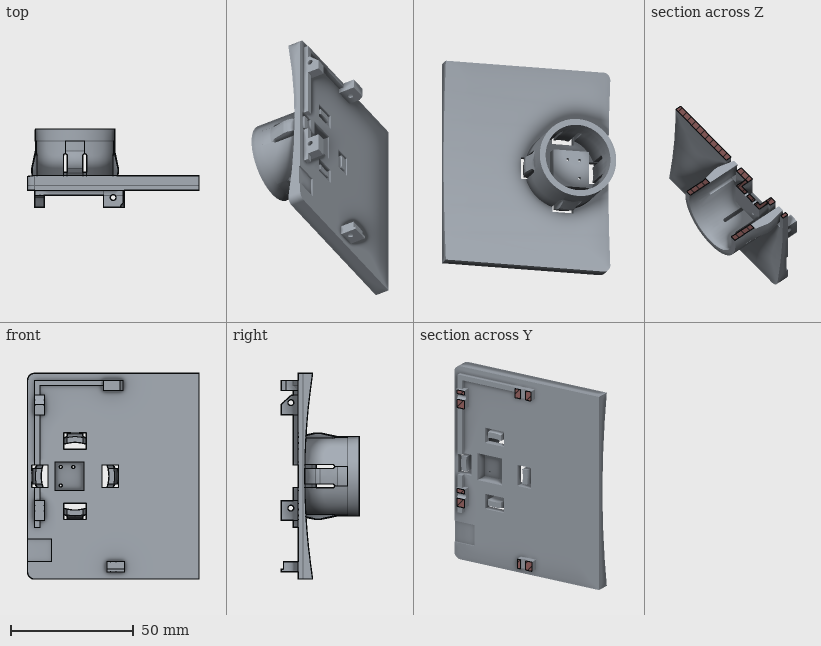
import cadquery as cq

PLATE_WIDTH = 70.0
PLATE_HEIGHT = 84.0
BASE_THICKNESS = 2.0
MIDDLE_THICKNESS = 2.7
EDGE_THICKNESS = 6.0
CORNER_RADIUS = 2.9
LABEL_WIDTH = 9.8
LABEL_TOP = -25.7
LABEL_BOTTOM = -34.9
LABEL_DEPTH = 0.7

RIB_INSET = 2.9
RIB_WIDTH = 2.1
RIB_HEIGHT = 2.0
RIB_BOTTOM = -20.9

LUG_HEIGHT = 7.0
LUG_LENGTH = 8.1
LUG_HOLE_DIAMETER = 2.3
LUG_HOLE_OUT = 2.9
SIDE_LUG_WIDTH = 3.95
SIDE_LUG_HOLE_DROP = 3.1
UPPER_LUG_TOP = 33.1
LOWER_LUG_TOP = -9.9
LUG_CHAMFER_RISE = 3.9
LUG_CHAMFER_RUN = 4.2
TOP_LUG_LEFT = 30.9
TOP_LUG_DEPTH = 4.2
TOP_LUG_CHAMFER_X = 1.3
TOP_LUG_CHAMFER_Y = 2.0
BOTTOM_LUG_LEFT = 32.3
BOTTOM_LUG_LENGTH = 7.2
BOTTOM_LUG_DEPTH = 4.2
BOTTOM_LUG_HEIGHT = 6.0
FOOT_DEPTH = 1.2

CUP_X = 19.4
CUP_RADIUS = 32.5 / 2
CUP_BORE_RADIUS = 13.8
CUP_END = 25.0
BAND_START = 20.2
SLOT_WIDTH = 1.5
SLOT_OFFSET = 3.95
SLOT_END = 14.9
CLIP_COUNT = 4
CLIP_ROOT_RADIUS = 16.2
CLIP_ROOT_END = 16.05
CLIP_PEAK_RADIUS = 17.7
CLIP_PEAK_BACK = 9.0
CLIP_PEAK_FRONT = 7.1
CLIP_TIP_RADIUS = 16.1

WINDOW_WIDTH = 9.1
WINDOW_INNER = 11.1
WINDOW_OUTER = 17.6

POCKET_X = 17.1
POCKET_SIZE = 11.7
POCKET_DEPTH = 5.7
TRAY_WALL = 1.8
TRAY_FLOOR = 1.8
PIN_HOLE_DIAMETER = 1.2
PIN_HOLE_LEFT = 13.6
PIN_HOLE_PITCH_X = 5.0
PIN_HOLE_PITCH_Z = 7.6

RIB_OUTER_Z = PLATE_HEIGHT / 2 - RIB_INSET
LUG_HOLE_X = TOP_LUG_LEFT + LUG_LENGTH / 2
TRAY_SIZE = POCKET_SIZE + 2 * TRAY_WALL
TRAY_BACK = POCKET_DEPTH + TRAY_FLOOR


def block(x0, x1, y0, y1, z0, z1):
    """Box between two values on each axis."""
    return cq.Workplane("XY").box(x1 - x0, y1 - y0, z1 - z0, centered=False).translate((x0, y0, z0))


def cylinder_y(x, z, radius, y0, y1):
    """Round bar along Y."""
    return cq.Workplane("XZ", origin=(x, y0, z)).circle(radius).extrude(y0 - y1)


def square_y(size, y0, y1):
    """Square bar along Y, centred on the pocket."""
    half = size / 2
    return block(POCKET_X - half, POCKET_X + half, y0, y1, -half, half)


def at_clips(body):
    """Copies of a body that is made for the +X clip, one for each clip."""
    axis_start = (CUP_X, 0, 0)
    axis_end = (CUP_X, 1, 0)
    return [body.rotate(axis_start, axis_end, i * 360 / CLIP_COUNT) for i in range(CLIP_COUNT)]


def round_left_corners(slab):
    return slab.edges("|Y and <X").fillet(CORNER_RADIUS)


def plate_slab():
    """Flat base and a back layer that is hollowed by an arc; their seam stays on the rim."""
    half = PLATE_HEIGHT / 2
    base = block(0, PLATE_WIDTH, 0, BASE_THICKNESS, -half, half)
    back = (
        cq.Workplane("YZ")
        .moveTo(BASE_THICKNESS, -half)
        .lineTo(EDGE_THICKNESS, -half)
        .threePointArc((MIDDLE_THICKNESS, 0), (EDGE_THICKNESS, half))
        .lineTo(BASE_THICKNESS, half)
        .close()
        .extrude(PLATE_WIDTH)
    )
    return round_left_corners(base).union(round_left_corners(back), clean=False)


def ribs():
    inner_x = RIB_INSET + RIB_WIDTH
    side = block(RIB_INSET, inner_x, -RIB_HEIGHT, 0, RIB_BOTTOM, RIB_OUTER_Z)
    top_right = TOP_LUG_LEFT + LUG_LENGTH
    top = block(RIB_INSET, top_right, -RIB_HEIGHT, 0, RIB_OUTER_Z - RIB_WIDTH, RIB_OUTER_Z)
    return side.union(top)


def side_lug(top):
    lug = block(RIB_INSET, RIB_INSET + SIDE_LUG_WIDTH, -LUG_HEIGHT, 0, top - LUG_LENGTH, top)
    hole = (
        cq.Workplane("YZ", origin=(0, -LUG_HOLE_OUT, top - SIDE_LUG_HOLE_DROP))
        .circle(LUG_HOLE_DIAMETER / 2)
        .extrude(RIB_INSET + SIDE_LUG_WIDTH)
    )
    return lug, hole


def upper_lug():
    lug, hole = side_lug(UPPER_LUG_TOP)
    corner = (
        cq.Workplane("YZ")
        .moveTo(-LUG_HEIGHT, UPPER_LUG_TOP)
        .lineTo(-LUG_HEIGHT + LUG_CHAMFER_RUN, UPPER_LUG_TOP)
        .lineTo(-LUG_HEIGHT, UPPER_LUG_TOP - LUG_CHAMFER_RISE)
        .close()
        .extrude(RIB_INSET + SIDE_LUG_WIDTH)
    )
    return lug.cut(corner), hole


def top_lug():
    """Lug with its right front corner chamfered."""
    right = TOP_LUG_LEFT + LUG_LENGTH
    return (
        cq.Workplane("XY", origin=(0, 0, RIB_OUTER_Z - TOP_LUG_DEPTH))
        .moveTo(TOP_LUG_LEFT, 0)
        .lineTo(TOP_LUG_LEFT, -LUG_HEIGHT)
        .lineTo(right - TOP_LUG_CHAMFER_X, -LUG_HEIGHT)
        .lineTo(right, -LUG_HEIGHT + TOP_LUG_CHAMFER_Y)
        .lineTo(right, 0)
        .close()
        .extrude(TOP_LUG_DEPTH)
    )


def bottom_lug():
    """Lug with a thin foot along its lower front edge."""
    right = BOTTOM_LUG_LEFT + BOTTOM_LUG_LENGTH
    bottom = -RIB_OUTER_Z
    lug = block(BOTTOM_LUG_LEFT, right, -BOTTOM_LUG_HEIGHT, 0, bottom, bottom + BOTTOM_LUG_DEPTH)
    foot = block(BOTTOM_LUG_LEFT, right, -LUG_HEIGHT, 0, bottom, bottom + FOOT_DEPTH)
    return lug.union(foot)


def end_lug_hole():
    """One bore along Z through the top and bottom lugs."""
    return (
        cq.Workplane("XY", origin=(LUG_HOLE_X, -LUG_HOLE_OUT, -RIB_OUTER_Z))
        .circle(LUG_HOLE_DIAMETER / 2)
        .extrude(2 * RIB_OUTER_Z)
    )


def make_plate(slab):
    upper, upper_hole = upper_lug()
    lower, lower_hole = side_lug(LOWER_LUG_TOP)
    plate = slab
    for added in (ribs(), upper, lower, top_lug(), bottom_lug()):
        plate = plate.union(added, clean=False)

    label = block(0, LABEL_WIDTH, 0, LABEL_DEPTH, LABEL_BOTTOM, LABEL_TOP)
    pocket = square_y(POCKET_SIZE, 0, POCKET_DEPTH)
    window = block(
        CUP_X + WINDOW_INNER, CUP_X + WINDOW_OUTER,
        -RIB_HEIGHT, EDGE_THICKNESS,
        -WINDOW_WIDTH / 2, WINDOW_WIDTH / 2,
    )
    for removed in (upper_hole, lower_hole, end_lug_hole(), label, pocket, *at_clips(window)):
        plate = plate.cut(removed, clean=False)
    return plate


def make_tray(slab):
    """Square shell on the back of the plate, with three pin holes in its floor."""
    frame = square_y(TRAY_SIZE, 0, POCKET_DEPTH).cut(square_y(POCKET_SIZE, 0, POCKET_DEPTH)).cut(slab)
    tray = frame.union(square_y(TRAY_SIZE, POCKET_DEPTH, TRAY_BACK), clean=False)
    right = PIN_HOLE_LEFT + PIN_HOLE_PITCH_X
    upper = PIN_HOLE_PITCH_Z / 2
    for x, z in ((PIN_HOLE_LEFT, upper), (right, upper), (PIN_HOLE_LEFT, -upper)):
        tray = tray.cut(cylinder_y(x, z, PIN_HOLE_DIAMETER / 2, POCKET_DEPTH, TRAY_BACK), clean=False)
    return tray


def tube(y0, y1):
    return cylinder_y(CUP_X, 0, CUP_RADIUS, y0, y1).cut(cylinder_y(CUP_X, 0, CUP_BORE_RADIUS, y0, y1))


def clip_strip():
    """Span of the cup wall, centred on +X, that belongs to one clip."""
    return block(CUP_X, CUP_X + CLIP_PEAK_RADIUS, 0, BAND_START, -SLOT_OFFSET, SLOT_OFFSET)


def clip():
    """Spring clip on the +X side, hung from the band and bulging outwards."""
    ring = (
        cq.Workplane("XY", origin=(CUP_X, 0, 0))
        .moveTo(CUP_BORE_RADIUS, 0)
        .lineTo(CLIP_TIP_RADIUS, 0)
        .lineTo(CLIP_PEAK_RADIUS, CLIP_PEAK_FRONT)
        .lineTo(CLIP_PEAK_RADIUS, CLIP_PEAK_BACK)
        .lineTo(CLIP_ROOT_RADIUS, CLIP_ROOT_END)
        .lineTo(CLIP_ROOT_RADIUS, BAND_START)
        .lineTo(CUP_BORE_RADIUS, BAND_START)
        .close()
        .revolve(360, (0, 0, 0), (0, 1, 0))
    )
    return ring.intersect(clip_strip())


def slot(z):
    """Round-ended slot through the +X wall, open towards the plate."""
    radius = SLOT_WIDTH / 2
    straight_end = SLOT_END - radius
    return (
        cq.Workplane("YZ", origin=(CUP_X, 0, z))
        .moveTo(0, -radius)
        .lineTo(straight_end, -radius)
        .threePointArc((SLOT_END, 0), (straight_end, radius))
        .lineTo(0, radius)
        .close()
        .extrude(CLIP_PEAK_RADIUS)
    )


def make_cup(slab):
    cup = tube(0, BAND_START).cut(slab)
    for strip in at_clips(clip_strip()):
        cup = cup.cut(strip)
    cup = cup.union(tube(BAND_START, CUP_END), clean=False)
    for spring in at_clips(clip()):
        cup = cup.union(spring, clean=False)
    for side in (-SLOT_OFFSET, SLOT_OFFSET):
        for opening in at_clips(slot(side)):
            cup = cup.cut(opening, clean=False)
    return cup


slab = plate_slab()
plate = make_plate(slab)
cup = make_cup(slab)
tray = make_tray(slab)
result = cq.Compound.makeCompound([plate.solids().val(), cup.solids().val(), tray.solids().val()])